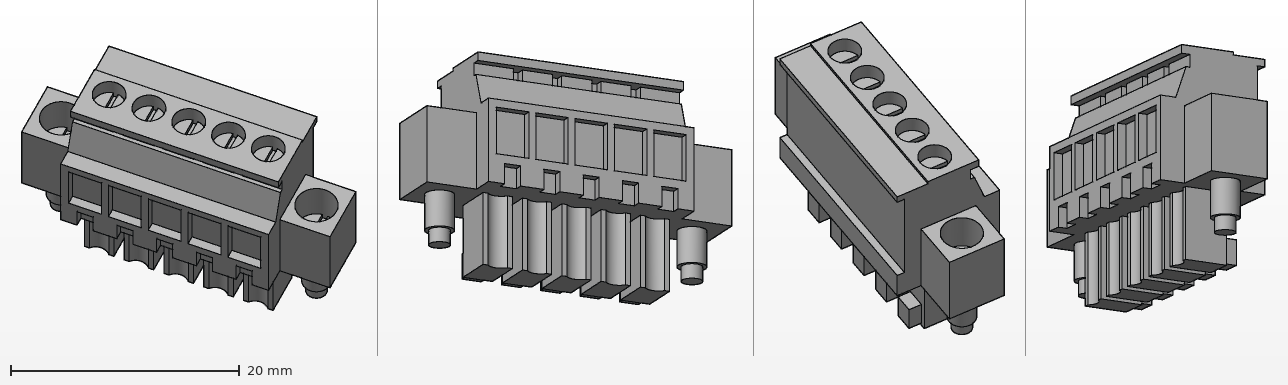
import cadquery as cq

POLES = 5
PITCH = 3.8

LENGTH = 29.45
BODY_LENGTH = 19.85
BODY_DEPTH = 10.45
BODY_HEIGHT = 12.5
FRONT_Y = -BODY_DEPTH / 2
BACK_Y = BODY_DEPTH / 2

BACK_RECESS_DEPTH = 0.75
BACK_FOOT_HEIGHT = 2.5
BACK_LIP_BOTTOM = 11.57
BACK_LIP_TOP = 12.25
TOP_STEP_Y = 2.1
FRONT_LIP_Y = -3.1
FRONT_LIP_BOTTOM = 11.72
NECK_Y = -2.27
LEDGE_Z = 10.57
LEDGE_FRONT_Y = -2.65
SHELF_BACK_Y = -3.68
SHELF_Z = 7.65

WINDOW_WIDTH = 3.12
WINDOW_BOTTOM = 2.65
WINDOW_TOP = 6.92
WINDOW_DEPTH = 0.85
NOTCH_WIDTH = 1.53
NOTCH_HEIGHT = 1.85
NOTCH_DEPTH = 0.85
NECK_SLOT_WIDTH = 0.88
NECK_SLOT_DEPTH = 0.88

PRONG_WIDTH = 2.83
PRONG_LENGTH = 6.6
PRONG_FRONT_Y = -2.18
PRONG_BACK_Y = 1.9
GROOVE_WIDTH = 1.85
GROOVE_DEPTH = 0.45
TAB_WIDTH = 1.85
TAB_BACK_Y = 3.18
TAB_TOP = -4.0
TAB_BOTTOM = -6.33

FLANGE_DEPTH = 5.6
FLANGE_HEIGHT = 7.0
FLANGE_SCREW_X = 12.2

TERMINAL_SCREW_DIA = 2.95
TERMINAL_SCREW_RECESS = 1.5
TERMINAL_HEAD_HEIGHT = 1.47
TERMINAL_HEAD_TOP = BODY_HEIGHT - TERMINAL_SCREW_RECESS
TERMINAL_HEAD_BOTTOM = TERMINAL_HEAD_TOP - TERMINAL_HEAD_HEIGHT
TERMINAL_SLOT_WIDTH = 0.45
TERMINAL_SLOT_DEPTH = 0.45

FLANGE_HEAD_DIA = 3.77
FLANGE_HEAD_TOP = 3.53
FLANGE_HEAD_HEIGHT = 1.47
FLANGE_HEAD_BOTTOM = FLANGE_HEAD_TOP - FLANGE_HEAD_HEIGHT
FLANGE_SLOT_WIDTH = 0.53
FLANGE_SLOT_DEPTH = 0.45
SHANK_DIA = 2.62
SHANK_BOTTOM = -3.3
TIP_DIA = 1.9
TIP_BOTTOM = -4.62

POLE_XS = [(i - (POLES - 1) / 2) * PITCH for i in range(POLES)]
GAP_XS = [(left + right) / 2 for left, right in zip(POLE_XS, POLE_XS[1:])]
FLANGE_XS = [-FLANGE_SCREW_X, FLANGE_SCREW_X]


def block(x_center, width, y_min, y_max, z_min, z_max):
    """Box centred on x_center and spanning the given Y and Z ranges."""
    corner = (x_center - width / 2, y_min, z_min)
    return cq.Workplane("XY").box(width, y_max - y_min, z_max - z_min, centered=False).translate(corner)


def cylinder(x, diameter, z_min, z_max):
    """Vertical cylinder on the Y = 0 line."""
    return cq.Workplane("XY", origin=(x, 0, z_min)).circle(diameter / 2).extrude(z_max - z_min)


def body_profile():
    """Side profile of the housing, swept along its length."""
    recess_y = BACK_Y - BACK_RECESS_DEPTH
    points = [
        (FRONT_Y, 0),
        (BACK_Y, 0),
        (BACK_Y, BACK_FOOT_HEIGHT),
        (recess_y, BACK_FOOT_HEIGHT),
        (recess_y, BACK_LIP_BOTTOM),
        (BACK_Y, BACK_LIP_BOTTOM),
        (BACK_Y, BACK_LIP_TOP),
        (TOP_STEP_Y, BACK_LIP_TOP),
        (TOP_STEP_Y, BODY_HEIGHT),
        (FRONT_LIP_Y, BODY_HEIGHT),
        (FRONT_LIP_Y, FRONT_LIP_BOTTOM),
        (NECK_Y, FRONT_LIP_BOTTOM),
        (NECK_Y, LEDGE_Z),
        (LEDGE_FRONT_Y, LEDGE_Z),
        (SHELF_BACK_Y, SHELF_Z),
        (FRONT_Y, SHELF_Z),
    ]
    return cq.Workplane("YZ").polyline(points).close().extrude(BODY_LENGTH / 2, both=True)


def prong(x):
    """Prong with a round groove in front and a keying tab behind."""
    post = block(x, PRONG_WIDTH, PRONG_FRONT_Y, PRONG_BACK_Y, -PRONG_LENGTH, 0)
    groove = (
        cq.Workplane("XY", origin=(x, PRONG_FRONT_Y, -PRONG_LENGTH))
        .moveTo(-GROOVE_WIDTH / 2, 0)
        .threePointArc((0, GROOVE_DEPTH), (GROOVE_WIDTH / 2, 0))
        .close()
        .extrude(PRONG_LENGTH)
    )
    tab = block(x, TAB_WIDTH, PRONG_BACK_Y, TAB_BACK_Y, TAB_BOTTOM, TAB_TOP)
    return post.cut(groove).union(tab)


def slotted_head(x, diameter, bottom, top, slot_width, slot_depth):
    """Round screw head with a driver slot along Y across its whole top."""
    radius = diameter / 2
    slot = block(x, slot_width, -radius, radius, top - slot_depth, top)
    return cylinder(x, diameter, bottom, top).cut(slot)


def make_terminal_screw(x):
    """Slotted screw head sunk in the housing top."""
    return slotted_head(
        x, TERMINAL_SCREW_DIA, TERMINAL_HEAD_BOTTOM, TERMINAL_HEAD_TOP,
        TERMINAL_SLOT_WIDTH, TERMINAL_SLOT_DEPTH
    )


def make_flange_screw(x):
    """Slotted head, shank and narrower tip reaching below the flange."""
    head = slotted_head(
        x, FLANGE_HEAD_DIA, FLANGE_HEAD_BOTTOM, FLANGE_HEAD_TOP, FLANGE_SLOT_WIDTH, FLANGE_SLOT_DEPTH
    )
    shank = cylinder(x, SHANK_DIA, SHANK_BOTTOM, FLANGE_HEAD_BOTTOM)
    tip = cylinder(x, TIP_DIA, TIP_BOTTOM, SHANK_BOTTOM)
    return head.union(shank).union(tip)


def pole_openings(x):
    """Front window, bottom notch and screw hole of one pole."""
    window = block(x, WINDOW_WIDTH, FRONT_Y, FRONT_Y + WINDOW_DEPTH, WINDOW_BOTTOM, WINDOW_TOP)
    notch = block(x, NOTCH_WIDTH, FRONT_Y, FRONT_Y + NOTCH_DEPTH, 0, NOTCH_HEIGHT)
    screw_hole = cylinder(x, TERMINAL_SCREW_DIA, TERMINAL_HEAD_BOTTOM, BODY_HEIGHT)
    return [window, notch, screw_hole]


def neck_slot(x):
    """Slot in the neck between two neighbouring poles."""
    return block(x, NECK_SLOT_WIDTH, NECK_Y, NECK_Y + NECK_SLOT_DEPTH, LEDGE_Z, FRONT_LIP_BOTTOM)


def flange_hole(x):
    """Counterbored through hole for a flange screw."""
    counterbore = cylinder(x, FLANGE_HEAD_DIA, FLANGE_HEAD_BOTTOM, FLANGE_HEIGHT)
    shank_hole = cylinder(x, SHANK_DIA, 0, FLANGE_HEAD_BOTTOM)
    return counterbore.union(shank_hole)


def make_housing():
    """Body, flanges and prongs in one piece, with all its openings."""
    flange_bar = block(0, LENGTH, -FLANGE_DEPTH / 2, FLANGE_DEPTH / 2, 0, FLANGE_HEIGHT)
    housing = body_profile().union(flange_bar)

    for x in POLE_XS:
        housing = housing.union(prong(x))
        for opening in pole_openings(x):
            housing = housing.cut(opening)

    for x in GAP_XS:
        housing = housing.cut(neck_slot(x))

    for x in FLANGE_XS:
        housing = housing.cut(flange_hole(x))
    return housing


housing = make_housing()
terminal_screws = [make_terminal_screw(x) for x in POLE_XS]
flange_screws = [make_flange_screw(x) for x in FLANGE_XS]

result = cq.Compound.makeCompound([
    housing.val(),
    *[screw.val() for screw in terminal_screws],
    *[screw.val() for screw in flange_screws],
])